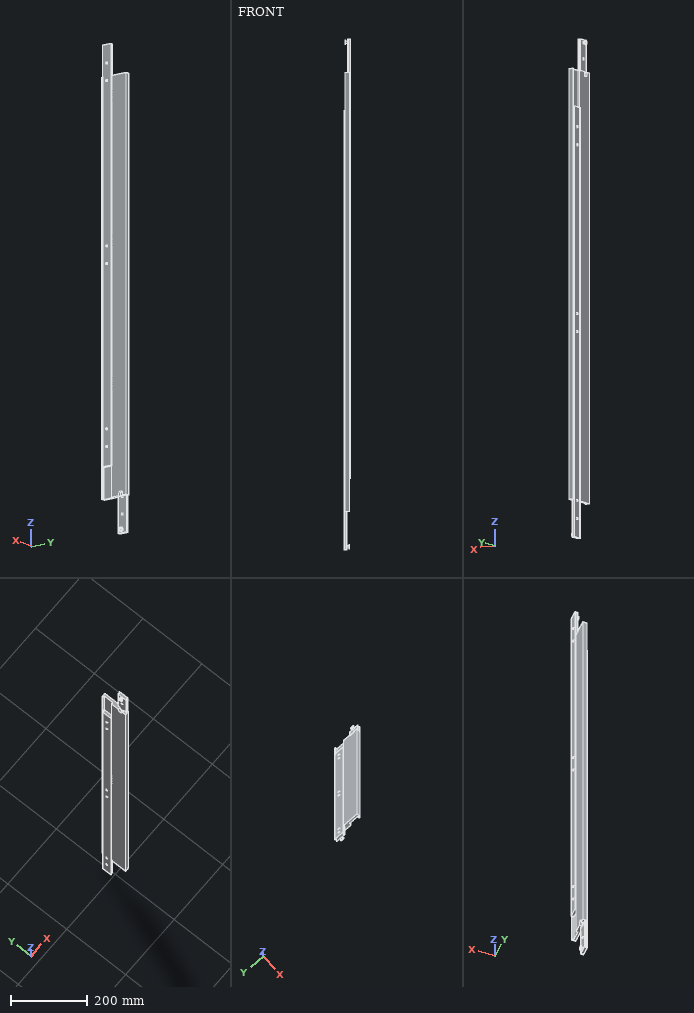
import cadquery as cq

total_length = 1339.0
total_depth = 17.0
total_width = 80.0
member_length = 1151.0
beam_bottom = 100.0

rail_width = 28.0
rail_depth = 8.0
outer_flange = 4.0
track_radius = 2.0
beam_depth = 12.0
rail_outer_x = total_depth / 2
rail_inner_x = rail_outer_x - rail_depth
rail_center_y = total_width / 2 - outer_flange - rail_width / 2

hole_diameter = 5.0
pair_start = 51.0
pair_pitch = 500.0
pair_gap = 48.0
pair_count = 3

stud_end_distance = 8.0
shank_diameter = 7.0
head_diameter = 12.0
head_thickness = 1.0

notch_width = 12.0
notch_depth = 12.0


def make_rail(side):
    """Rail with its outer face toward -X for side -1 (lower rail) or +X for side 1 (upper rail)."""
    center_y = -side * rail_center_y
    center_x = side * (rail_outer_x - rail_depth / 2)
    free_end = total_length if side > 0 else 0.0
    center_z = free_end - side * member_length / 2
    rail = cq.Workplane("XY").box(rail_depth, rail_width, member_length)

    tracks = (
        cq.Workplane("XY")
        .pushPoints([(0, -rail_width / 2), (0, rail_width / 2)])
        .circle(track_radius)
        .extrude(member_length / 2, both=True)
    )
    rail = rail.cut(tracks)
    rail = rail.translate((center_x, center_y, center_z))

    hole_places = []
    for pair in range(pair_count):
        first = pair_start + pair * pair_pitch
        for distance in (first, first + pair_gap):
            hole_places.append((center_y, free_end - side * distance))
    holes = (
        cq.Workplane("YZ")
        .pushPoints(hole_places)
        .circle(hole_diameter / 2)
        .extrude(total_depth / 2, both=True)
    )
    rail = rail.cut(holes)

    stud_z = free_end - side * stud_end_distance
    head_x = -side * beam_depth / 2
    stud_plane = cq.Plane(
        origin=(head_x, center_y, stud_z), xDir=(0, 1, 0), normal=(side, 0, 0)
    )
    shank_length = beam_depth / 2 + rail_inner_x
    shank = cq.Workplane(stud_plane).circle(shank_diameter / 2).extrude(shank_length)
    head = cq.Workplane(stud_plane).circle(head_diameter / 2).extrude(head_thickness)
    return rail.union(shank).union(head)


def make_beam():
    """S-shaped beam with opposed channels and a stud notch at each end."""
    beam = cq.Workplane("XY").box(beam_depth, total_width, member_length)
    beam = beam.translate((0, 0, beam_bottom + member_length / 2))
    for side in (-1, 1):
        center_y = -side * rail_center_y

        channel = cq.Workplane("XY").box(rail_depth, rail_width, total_length)
        channel_x = side * (rail_outer_x - rail_depth / 2)
        beam = beam.cut(channel.translate((channel_x, center_y, total_length / 2)))

        beam_end = beam_bottom + member_length if side > 0 else beam_bottom
        notch_center_z = beam_end - side * (notch_depth - notch_width / 2)
        notch = (
            cq.Workplane("YZ")
            .center(center_y, notch_center_z)
            .slot2D(2 * notch_width, notch_width, 90)
            .extrude(beam_depth, both=True)
            .translate((0, 0, side * notch_width / 2))
        )
        beam = beam.cut(notch)
    return beam


beam = make_beam()
rails = [make_rail(side) for side in (-1, 1)]

result = cq.Compound.makeCompound([beam.val(), *[rail.val() for rail in rails]])